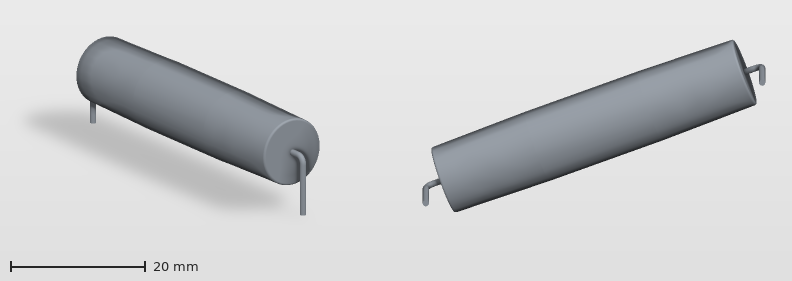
import cadquery as cq

overall_length = 54.25
body_length = 47.9
body_end_x = body_length / 2

middle_length = 17.85
middle_diameter = 10.9
end_diameter = 10.3
end_rounding = 0.3
taper_start_x = middle_length / 2

wire_diameter = 0.9
bend_radius = 1.2
lead_drop = 9.05
lead_x = (overall_length - wire_diameter) / 2


def make_body():
    """Revolve the half outline about X, then round the rims of both end faces."""
    outline = (
        cq.Workplane("XY")
        .moveTo(-body_end_x, 0)
        .lineTo(-body_end_x, -end_diameter / 2)
        .lineTo(-taper_start_x, -middle_diameter / 2)
        .lineTo(taper_start_x, -middle_diameter / 2)
        .lineTo(body_end_x, -end_diameter / 2)
        .lineTo(body_end_x, 0)
        .close()
    )
    turned = outline.revolve(360, (0, 0, 0), (1, 0, 0))
    return turned.faces("<X or >X").edges().fillet(end_rounding)


def make_lead(side):
    """Sweep a lead from the end face on one side (-1 or +1), around its bend and down."""
    path = (
        cq.Workplane("XZ")
        .moveTo(side * body_end_x, 0)
        .lineTo(side * (lead_x - bend_radius), 0)
        .tangentArcPoint((side * lead_x, -bend_radius), relative=False)
        .lineTo(side * lead_x, -lead_drop)
    )
    section = cq.Workplane("YZ", origin=(side * body_end_x, 0, 0)).circle(wire_diameter / 2)
    return section.sweep(path)


body = make_body()
leads = [make_lead(side) for side in (-1, 1)]

result = cq.Compound.makeCompound([body.val(), *[lead.val() for lead in leads]])